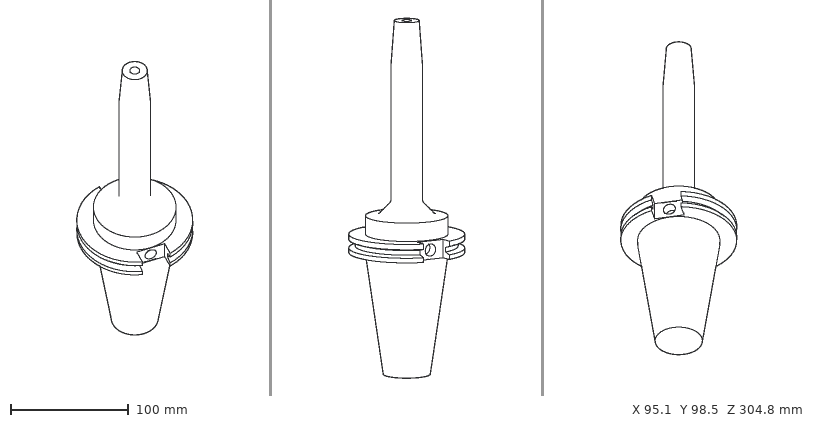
import cadquery as cq
import math

total_height = 304.8
taper_length = 101.5
flange_bottom = 105.0
flange_top = 120.7
collar_top = 136.5
nose_base = 267.0

flange_diameter = 98.5
gauge_diameter = 69.8
collar_diameter = 70.0
shank_diameter = 26.8
tip_diameter = 21.3
bore_diameter = 8.2
taper_ratio = 7 / 24

groove_floor_diameter = 87.5
groove_bottom = 108.8
groove_top = 116.0
groove_floor_width = 4.0

cone_base_radius = 25.3
blend_radius = 5.2

slot_width = 25.5
left_slot_floor = 37.8
right_slot_floor = 35.5
slot_hole_diameter = 10.5
slot_hole_depth = 9.0

bore_depth = 61.0


def make_body():
    """Revolve the half outline of the holder around Z."""
    small_end_radius = (gauge_diameter - taper_length * taper_ratio) / 2
    flange_radius = flange_diameter / 2
    collar_radius = collar_diameter / 2
    groove_radius = groove_floor_diameter / 2
    shank_radius = shank_diameter / 2
    groove_middle = (groove_bottom + groove_top) / 2

    tangent_length = blend_radius * math.tan(math.radians(22.5))
    diagonal = tangent_length * math.sqrt(0.5)
    arc_far = blend_radius * math.sin(math.radians(22.5))
    arc_near = blend_radius * (1 - math.cos(math.radians(22.5)))
    base_start = cone_base_radius + tangent_length
    cone_top = collar_top + cone_base_radius - shank_radius
    shank_start = cone_top + tangent_length

    outline = (
        cq.Workplane("XZ")
        .lineTo(small_end_radius, 0)
        .lineTo(gauge_diameter / 2, taper_length)
        .lineTo(gauge_diameter / 2, flange_bottom)
        .lineTo(flange_radius, flange_bottom)
        .lineTo(flange_radius, groove_bottom)
        .lineTo(groove_radius, groove_middle - groove_floor_width / 2)
        .lineTo(groove_radius, groove_middle + groove_floor_width / 2)
        .lineTo(flange_radius, groove_top)
        .lineTo(flange_radius, flange_top)
        .lineTo(collar_radius, flange_top)
        .lineTo(collar_radius, collar_top)
        .lineTo(base_start, collar_top)
        .threePointArc(
            (base_start - arc_far, collar_top + arc_near),
            (cone_base_radius - diagonal, collar_top + diagonal),
        )
        .lineTo(shank_radius + diagonal, cone_top - diagonal)
        .threePointArc(
            (shank_radius + arc_near, shank_start - arc_far),
            (shank_radius, shank_start),
        )
        .lineTo(shank_radius, nose_base)
        .lineTo(tip_diameter / 2, total_height)
        .lineTo(0, total_height)
        .close()
    )
    return outline.revolve(360, (0, 0, 0), (0, 1, 0))


def make_drive_slot(side, floor):
    """Cutter for a slot and its radial hole; side is -1 or 1 along X."""
    height = flange_top - flange_bottom
    middle = (flange_top + flange_bottom) / 2
    slot = (
        cq.Workplane("XY")
        .box(flange_diameter, slot_width, height)
        .translate((side * (floor + flange_diameter / 2), 0, middle))
    )
    hole = cq.Workplane(
        cq.Solid.makeCylinder(
            slot_hole_diameter / 2,
            slot_hole_depth,
            cq.Vector(side * floor, 0, middle),
            cq.Vector(-side, 0, 0),
        )
    )
    return slot.union(hole)


def make_bore():
    """Cutter for the blind bore running down from the tip."""
    return (
        cq.Workplane("XY")
        .workplane(offset=total_height - bore_depth)
        .circle(bore_diameter / 2)
        .extrude(bore_depth)
    )


result = (
    make_body()
    .cut(make_drive_slot(-1, left_slot_floor))
    .cut(make_drive_slot(1, right_slot_floor))
    .cut(make_bore())
)